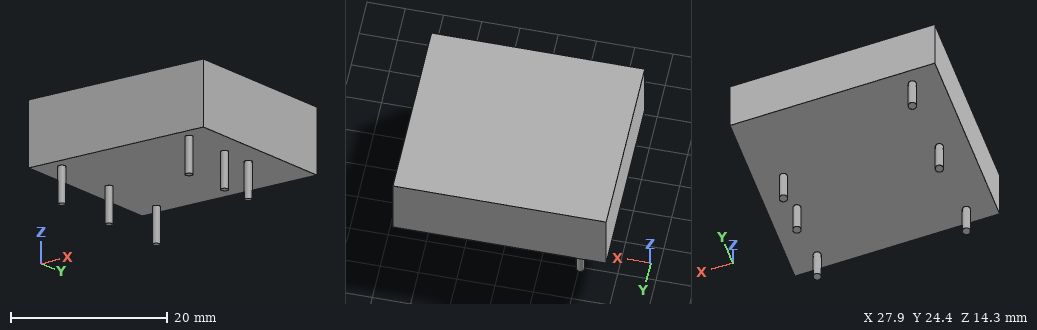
import cadquery as cq

case_length = 27.9
case_width = 24.4
total_height = 14.3

pin_diameter = 1.05
pin_length = 5.1
case_height = total_height - pin_length

row_x = 10.15
outer_y = 10.15
inner_y = 2.55

pin_places = [
    (-row_x, -outer_y),
    (-row_x, 0),
    (-row_x, outer_y),
    (row_x, -outer_y),
    (row_x, -inner_y),
    (row_x, inner_y),
]


def make_case():
    """Plain rectangular block."""
    return cq.Workplane("XY").box(case_length, case_width, case_height, centered=(True, True, False))


def make_pin(x, y):
    """Straight pin hanging from the underside of the case."""
    return cq.Workplane("XY").center(x, y).circle(pin_diameter / 2).extrude(-pin_length)


case = make_case()
pins = [make_pin(x, y) for x, y in pin_places]

result = cq.Compound.makeCompound([case.val(), *[pin.val() for pin in pins]])